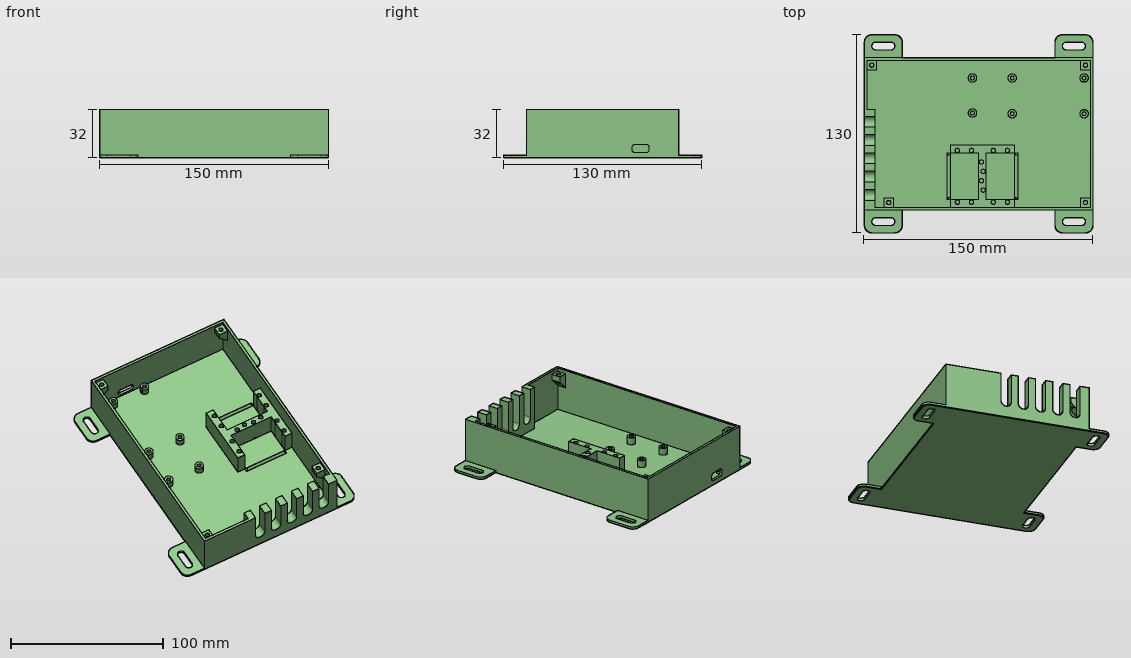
import cadquery as cq

length = 150.0
width = 100.0
height = 32.0
wall = 1.8
floor_thickness = 2.0
bottom_chamfer = 0.5

overall_width = 130.0
tab_length = 25.0
tab_thickness = floor_thickness
tab_corner_radius = 5.0
tab_slot_length = 15.0
tab_slot_width = 5.0
tab_reach = (overall_width - width) / 2
tab_x = (length - tab_length) / 2
tab_slot_y = width / 2 + tab_reach / 2

cable_wall_thickness = 7.0
cable_wall_end_y = 16.0
cable_slot_count = 5
cable_slot_width = 7.0
cable_slot_pitch = 12.0
cable_slot_first_y = -40.0
cable_slot_bottom_z = 8.2

boss_length = 6.5
boss_width = 6.0
boss_drop = 2.2
boss_side_height = 4.0
boss_hole_diameter = 2.8
boss_hole_depth = 6.0
boss_x = 70.0
boss_y = 45.0
inset_boss_x = -59.0

standoff_diameter = 5.5
standoff_hole_diameter = 2.5
standoff_height = 5.0
standoff_places = [(-4.0, 36.6), (-4.0, 13.6), (22.0, 36.6), (22.0, 13.2), (69.2, 36.6), (69.2, 13.2)]

port_y = 24.9
port_width = 11.2
port_height = 5.4
port_bottom_z = 3.6
port_radius = 2.0

plug_gap = 18.6

holder_left_x = -18.3
holder_right_x = 23.5
holder_top_z = 17.8
arm_width = 5.2
bay_width = 30.3
web_width = 5.1
web_x = 2.4
holder_front_y = -(width / 2 - wall)
holder_length = holder_right_x - holder_left_x
holder_width = bay_width + 2 * arm_width
holder_x = (holder_left_x + holder_right_x) / 2
holder_y = holder_front_y + holder_width / 2
holder_height = holder_top_z - floor_thickness
holder_hole_diameter = 2.8
arm_hole_offset = 1.8
arm_hole_xs = [-14.0, -4.6, 9.6, 18.9]
web_hole_offset = 0.6
web_hole_first_y = -36.9
web_hole_pitch = 6.2
web_hole_count = 4

lip_width = 2.4
lip_radius = lip_width / 2


def box_on(z, size_x, size_y, size_z, x=0.0, y=0.0):
    """A block centred at (x, y) and standing on height z."""
    return cq.Workplane("XY", origin=(x, y, z)).box(size_x, size_y, size_z, centered=(True, True, False))


def make_base():
    """Floor outline with its tabs, chamfered along the bottom edge."""
    base = box_on(0, length, width, tab_thickness)
    for x in (-tab_x, tab_x):
        tab = box_on(0, tab_length, overall_width, tab_thickness, x)
        base = base.union(tab.edges("|Z").fillet(tab_corner_radius))
    base = base.faces("<Z").chamfer(bottom_chamfer)
    slots = (
        cq.Workplane("XY")
        .rarray(2 * tab_x, 2 * tab_slot_y, 2, 2)
        .slot2D(tab_slot_length, tab_slot_width)
        .extrude(tab_thickness)
    )
    return base.cut(slots)


def make_walls():
    """Outer walls, the thick cable wall and its slots."""
    wall_base = tab_thickness / 2
    wall_height = height - wall_base
    walls = box_on(wall_base, length, width, wall_height)
    walls = walls.cut(box_on(floor_thickness, length - 2 * wall, width - 2 * wall, height))
    cable_wall_width = cable_wall_end_y + width / 2
    cable_wall_x = (cable_wall_thickness - length) / 2
    cable_wall_y = cable_wall_end_y - cable_wall_width / 2
    cable_wall = box_on(
        wall_base, cable_wall_thickness, cable_wall_width, wall_height, cable_wall_x, cable_wall_y
    )
    walls = walls.union(cable_wall)
    radius = cable_slot_width / 2
    for i in range(cable_slot_count):
        slot_y = cable_slot_first_y + i * cable_slot_pitch
        slot = (
            cq.Workplane("YZ", origin=(-length / 2, slot_y, cable_slot_bottom_z + radius))
            .moveTo(-radius, height)
            .lineTo(-radius, 0)
            .threePointArc((0, -radius), (radius, 0))
            .lineTo(radius, height)
            .close()
            .extrude(cable_wall_thickness)
        )
        walls = walls.cut(slot)
    return walls


def make_boss(x, side):
    """Lid screw boss on the wall at side +1 (+Y) or -1 (-Y)."""
    top = height - boss_drop
    wall_y = width / 2 - wall
    inner_y = boss_y - boss_width / 2
    side_bottom = top - boss_side_height
    taper = wall_y - inner_y
    boss = (
        cq.Workplane("YZ", origin=(x - boss_length / 2, 0, 0))
        .polyline(
            [
                (side * wall_y, top),
                (side * inner_y, top),
                (side * inner_y, side_bottom),
                (side * wall_y, side_bottom - taper),
            ]
        )
        .close()
        .extrude(boss_length)
    )
    hole = cq.Workplane("XY", origin=(x, side * boss_y, top)).circle(boss_hole_diameter / 2)
    return boss.cut(hole.extrude(-boss_hole_depth))


def make_standoffs():
    """Hollow round posts standing on the floor."""
    return (
        cq.Workplane("XY", origin=(0, 0, floor_thickness))
        .pushPoints(standoff_places)
        .circle(standoff_diameter / 2)
        .circle(standoff_hole_diameter / 2)
        .extrude(standoff_height)
    )


def make_port():
    """Cutter for the rounded connector opening."""
    port = cq.Workplane("XY", origin=(length / 2 - wall, port_y, port_bottom_z)).box(
        wall, port_width, port_height, centered=(False, True, False)
    )
    return port.edges("|X").fillet(port_radius)


def make_plug_clearance():
    """Cutter that trims the facing sides of the standoffs beside the port."""
    standoff_x, _ = standoff_places[-1]
    return box_on(port_bottom_z, standoff_diameter, plug_gap, standoff_height, standoff_x, port_y)


def make_lip(x):
    """Half-round ridge along Y with ends sloped at 45 degrees."""
    rod = (
        cq.Workplane("XZ", origin=(x, holder_y + bay_width / 2, floor_thickness))
        .moveTo(-lip_radius, 0)
        .threePointArc((0, lip_radius), (lip_radius, 0))
        .close()
        .extrude(bay_width)
    )
    half = bay_width / 2
    slopes = (
        cq.Workplane("YZ", origin=(x - lip_radius, holder_y, floor_thickness))
        .polyline([(-half, 0), (half, 0), (half - lip_radius, lip_radius), (lip_radius - half, lip_radius)])
        .close()
        .extrude(lip_width)
    )
    return rod.intersect(slopes)


def make_housing():
    standoffs = make_standoffs().cut(make_plug_clearance())
    housing = make_base().union(make_walls()).union(standoffs).cut(make_port())
    for x, side in [(-boss_x, 1), (boss_x, 1), (inset_boss_x, -1), (boss_x, -1)]:
        housing = housing.union(make_boss(x, side))
    for x in (holder_left_x - lip_radius, holder_right_x + lip_radius):
        housing = housing.union(make_lip(x))
    return housing


def make_holder():
    arm_y = (bay_width + arm_width) / 2
    holder = box_on(floor_thickness, web_width, holder_width, holder_height, web_x, holder_y)
    for y in (holder_y - arm_y, holder_y + arm_y):
        holder = holder.union(box_on(floor_thickness, holder_length, arm_width, holder_height, holder_x, y))
    hole_y = bay_width / 2 + arm_hole_offset
    hole_places = [(x, holder_y + side * hole_y) for x in arm_hole_xs for side in (-1, 1)]
    for i in range(web_hole_count):
        offset = web_hole_offset if i % 2 == 0 else -web_hole_offset
        hole_places.append((web_x + offset, web_hole_first_y + i * web_hole_pitch))
    holes = (
        cq.Workplane("XY", origin=(0, 0, holder_top_z))
        .pushPoints(hole_places)
        .circle(holder_hole_diameter / 2)
        .extrude(-holder_height)
    )
    return holder.cut(holes)


housing = make_housing()
holder = make_holder()
result = cq.Compound.makeCompound([housing.val(), holder.val()])